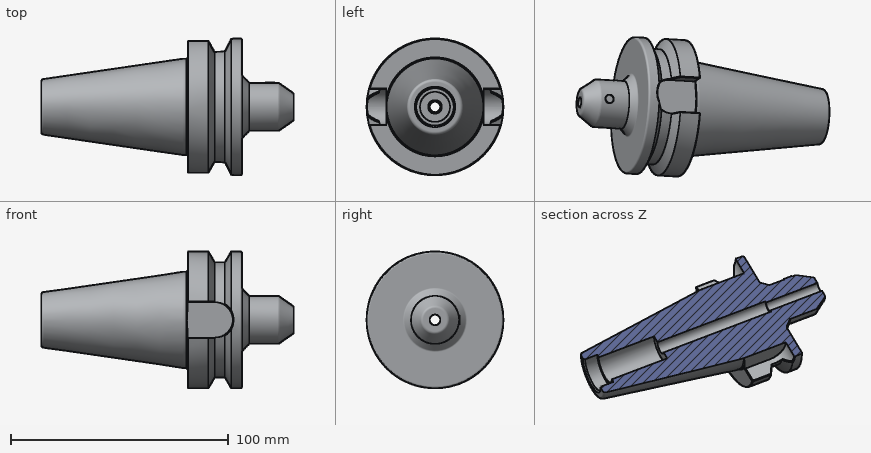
import math

import cadquery as cq


gauge_radius = 44.45 / 2
taper_ratio = 7 / 24
taper_length = 65.4
small_end_fillet = 1.5
small_end_radius = gauge_radius - taper_length * taper_ratio / 2

flange_start = 2.0
neck_fillet = 0.6

flange_end = 27.1
flange_radius = 63.0 / 2
face_chamfer = 0.35
rim_fillet = 1.0
groove_center = 16.8
groove_floor_radius = 53.2 / 2
groove_floor_width = 4.75
groove_wall_angle = 30.0
groove_wall_run = (flange_radius - groove_floor_radius) * math.tan(math.radians(groove_wall_angle))
groove_floor_start = groove_center - groove_floor_width / 2
groove_floor_end = groove_center + groove_floor_width / 2

shank_radius = 22.1 / 2
shank_root_cone = 3.3
nose_end = 50.9
nose_cone_length = 7.0
nose_cone_angle = 35.0
nose_cone_start = nose_end - nose_cone_length
nose_tip_radius = shank_radius - nose_cone_length * math.tan(math.radians(nose_cone_angle))
nose_shoulder_fillet = 1.25
nose_tip_fillet = 1.5

slot_width = 16.2
slot_floor = 22.3
slot_end = 22.75
slot_corner_radius = 8.0
slot_corner_x = slot_end - slot_corner_radius
slot_corner_z = slot_width / 2 - slot_corner_radius
slot_edge_chamfer = 0.4

pilot_radius = 17.15 / 2
pilot_depth = 6.9
pilot_chamfer = 0.75
thread_radius = 13.84 / 2
thread_depth = 35.0
coolant_radius = 6.29 / 2
coolant_depth = 90.0
outlet_radius = 4.76 / 2

screw_diameter = 3.91
screw_x = 39.9
screw_top = 11.4


def ring_edge(x, radius):
    """Select the circular edge around the X axis at one position and radius."""
    margin = 0.05
    return cq.selectors.BoxSelector(
        (x - margin, -radius - margin, -radius - margin),
        (x + margin, radius + margin, radius + margin),
        boundingbox=True,
    )


def make_body():
    outline = [
        (-taper_length, 0),
        (-taper_length, small_end_radius),
        (0, gauge_radius),
        (flange_start, gauge_radius),
        (flange_start, flange_radius - face_chamfer),
        (flange_start + face_chamfer, flange_radius),
        (groove_floor_start - groove_wall_run, flange_radius),
        (groove_floor_start, groove_floor_radius),
        (groove_floor_end, groove_floor_radius),
        (groove_floor_end + groove_wall_run, flange_radius),
        (flange_end, flange_radius),
        (flange_end, shank_radius + shank_root_cone),
        (flange_end + shank_root_cone, shank_radius),
        (nose_cone_start, shank_radius),
        (nose_end, nose_tip_radius),
        (nose_end, 0),
    ]
    body = cq.Workplane("XY").polyline(outline).close().revolve(360, (0, 0, 0), (1, 0, 0))
    rounded_edges = [
        (-taper_length, small_end_radius, small_end_fillet),
        (flange_start, gauge_radius, neck_fillet),
        (flange_end, flange_radius, rim_fillet),
        (nose_cone_start, shank_radius, nose_shoulder_fillet),
        (nose_end, nose_tip_radius, nose_tip_fillet),
    ]
    for x, radius, fillet in rounded_edges:
        body = body.edges(ring_edge(x, radius)).fillet(fillet)
    return body


def make_slot(side):
    """Drive slot with a rounded end, open through the face of the flange; side is +1 or -1 along Y."""
    half_width = slot_width / 2
    return (
        cq.Workplane("XZ", origin=(0, side * slot_floor, 0))
        .moveTo(0, -half_width)
        .lineTo(slot_corner_x, -half_width)
        .radiusArc((slot_end, -slot_corner_z), -slot_corner_radius)
        .lineTo(slot_end, slot_corner_z)
        .radiusArc((slot_corner_x, half_width), -slot_corner_radius)
        .lineTo(0, half_width)
        .close()
        .extrude(-side * flange_radius)
    )


def chamfer_slot(body, side):
    """Break the edges where the slot walls meet the flange face, its rim and the groove walls."""
    tolerance = 0.01

    def is_broken(edge):
        middle = edge.positionAt(0.5)
        corner_distance = math.hypot(
            max(middle.x - slot_corner_x, 0),
            max(abs(middle.z) - slot_corner_z, 0),
        )
        on_wall = abs(corner_distance - slot_corner_radius) < tolerance
        outside_groove_floor = math.hypot(middle.y, middle.z) > groove_floor_radius + tolerance
        inner_end = min(side * edge.startPoint().y, side * edge.endPoint().y)
        on_flange_face = abs(middle.x - flange_start) < tolerance
        above_floor = inner_end > slot_floor + tolerance or on_flange_face
        on_this_side = side * middle.y > slot_floor
        return on_wall and outside_groove_floor and above_floor and on_this_side

    return body.edges().filter(is_broken).chamfer(slot_edge_chamfer)


def make_bore():
    start = -taper_length
    outline = [
        (start, 0),
        (start, pilot_radius + pilot_chamfer),
        (start + pilot_chamfer, pilot_radius),
        (start + pilot_depth, pilot_radius),
        (start + pilot_depth, thread_radius),
        (start + thread_depth, thread_radius),
        (start + thread_depth, coolant_radius),
        (start + coolant_depth, coolant_radius),
        (start + coolant_depth, outlet_radius),
        (nose_end, outlet_radius),
        (nose_end, 0),
    ]
    return cq.Workplane("XY").polyline(outline).close().revolve(360, (0, 0, 0), (1, 0, 0))


def make_set_screw():
    root = (shank_radius + outlet_radius) / 2
    return (
        cq.Workplane("XZ", origin=(screw_x, root, 0))
        .circle(screw_diameter / 2)
        .extrude(root - screw_top)
    )


result = make_body()
for slot_side in (1, -1):
    result = chamfer_slot(result.cut(make_slot(slot_side)), slot_side)
result = result.cut(make_bore()).union(make_set_screw())